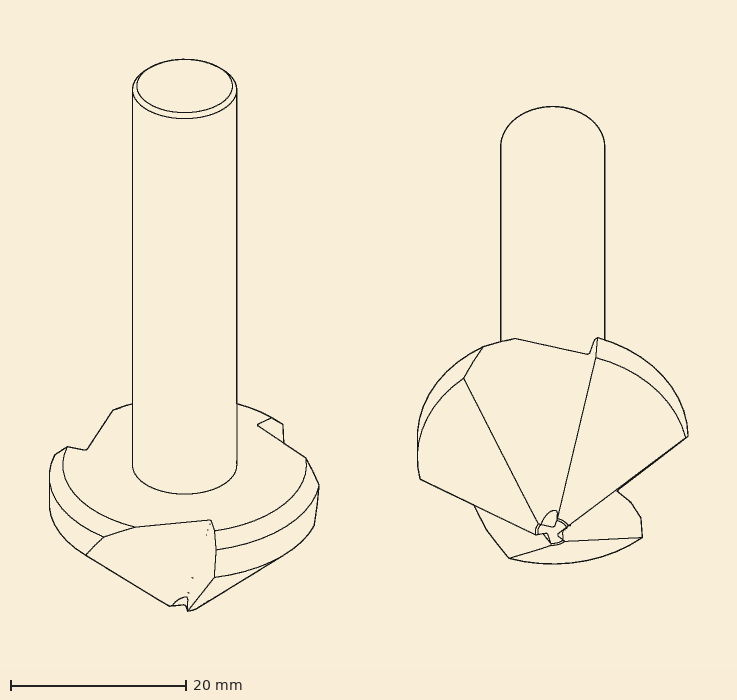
import cadquery as cq

total_height = 71.0

tip_radius = 2.0
head_radius = 15.5
top_chamfer = 1.55
land_height = 3.75
cone_height = head_radius - tip_radius
head_height = cone_height + land_height + top_chamfer

flute_count = 3
floor_offset_tip = 0.65
floor_offset_top = 11.6
wall_drop_top = 1.1
root_radius = 0.3
clearance = 7.1

shank_radius = 5.95
shank_chamfer = 0.5
spigot_radius = 1.7


def make_head_blank():
    outline = (
        cq.Workplane("XZ")
        .lineTo(tip_radius, 0)
        .lineTo(head_radius, cone_height)
        .lineTo(head_radius, cone_height + land_height)
        .lineTo(head_radius - top_chamfer, head_height)
        .lineTo(0, head_height)
        .close()
    )
    return outline.revolve(360, (0, 0, 0), (0, 1, 0))


def make_flute(index):
    """Tapered block bounded by the sloping floor and the leaning cutting wall."""
    outer_x = -head_radius - clearance
    outer_y = head_radius + clearance
    width_tip = -floor_offset_tip - outer_x
    width_top = -floor_offset_top - outer_x
    root_middle = (-(floor_offset_tip + floor_offset_top) / 2, -wall_drop_top / 2, head_height / 2)
    flute = (
        cq.Workplane("XY")
        .moveTo(outer_x, 0)
        .rect(width_tip, outer_y, centered=False)
        .workplane(offset=head_height)
        .moveTo(outer_x, -wall_drop_top)
        .rect(width_top, outer_y + wall_drop_top, centered=False)
        .loft(ruled=True)
        .edges(cq.selectors.NearestToPointSelector(root_middle))
        .fillet(root_radius)
    )
    return flute.rotate((0, 0, 0), (0, 0, 1), index * 360 / flute_count)


def cut_flutes(body):
    for index in range(flute_count):
        body = body.cut(make_flute(index))
    return body


def make_head():
    bore = cq.Workplane("XY").circle(spigot_radius).extrude(head_height)
    return cut_flutes(make_head_blank()).cut(bore)


def make_shank():
    """Chamfered shank with a spigot through the head, ground flush with the flutes."""
    spigot = cut_flutes(cq.Workplane("XY").circle(spigot_radius).extrude(head_height))
    shank = (
        cq.Workplane("XY", origin=(0, 0, head_height))
        .circle(shank_radius)
        .extrude(total_height - head_height)
        .faces(">Z")
        .chamfer(shank_chamfer)
    )
    return shank.union(spigot)


head = make_head()
shank = make_shank()
result = cq.Compound.makeCompound([*head.solids().vals(), *shank.solids().vals()])